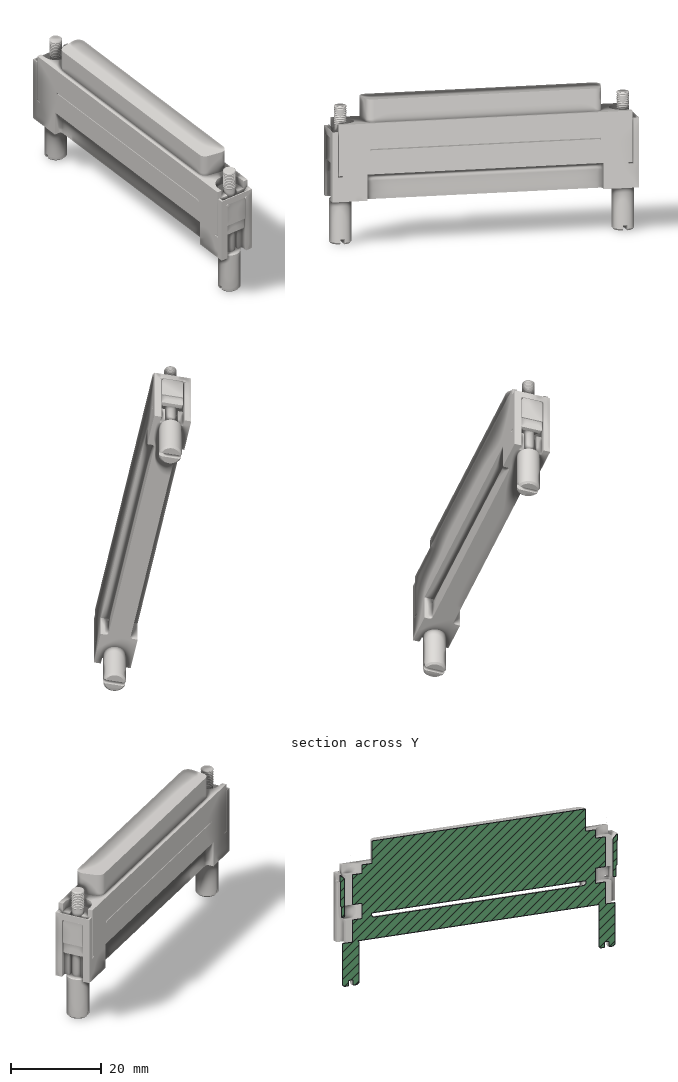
import cadquery as cq
import math

overall_length = 69.5
body_length = 69.3
body_depth = 8.3
body_bottom = 10.0
body_top = 27.4
total_height = 32.5
half_length = body_length / 2
half_depth = body_depth / 2

plate_top = 25.7
plate_thickness = 1.3
slit_width = 0.2
body_end_inset = plate_thickness + slit_width
slit_bottom = 15.4
slit_foot_reach = 2.4
slit_foot_height = 0.4
slit_foot_radius = 0.15

lead_in_depth = 1.1
lead_in_side_rim = 0.4
lead_in_end_rim = 0.2

window_width = 5.15
window_top = 24.2
window_corner = 0.4
tongue_gap = 0.2
tongue_width = window_width - 2 * tongue_gap
tongue_top_radius = 0.6
tongue_bottom_radius = 0.3
tongue_bottom = 15.9
tongue_step = 18.5
tongue_inset = 0.15
tongue_tip_inset = 0.4

shell_depth = 6.2
shell_back_half = 27.45
shell_side_angle = 10
shell_radius = 1.6
shell_height = total_height - body_top

leg_width = 8.0
opening_half = half_length - leg_width
opening_top = 15.9
bar_top = 15.0
bar_depth = 4.9
bar_top_radius = 0.8
bar_leg_radius = 0.6

groove_half = 26.05
groove_top = 21.6
groove_width = 0.3
groove_depth = 0.3
hook_size = 0.35

screw_x = 31.9
head_diameter = 5.0
head_chamfer = 0.4
head_top_chamfer = 0.15
shank_diameter = 2.6
thread_diameter = 2.8
thread_bottom = 26.6
thread_top = 31.0
thread_pitch = 0.4
thread_lead = 0.15
driver_slot_width = 1.0
driver_slot_depth = 1.25
screw_slot_width = 2.85
pocket_diameter = 6.1
top_pocket_floor = 25.4
lower_pocket_floor = 15.1
lower_pocket_top = tongue_step

pip_diameter = 0.6
pip_height = overall_length - body_length
pip_y = 2.5
pip_z = 24.05


def box(x_range, y_range, z_range):
    """Axis-aligned block between the given limits."""
    size = [high - low for low, high in (x_range, y_range, z_range)]
    corner = (x_range[0], y_range[0], z_range[0])
    return cq.Workplane("XY").box(*size, centered=False).translate(corner)


def both_ends(left_feature):
    """The feature at the -X end together with its mirror image."""
    return left_feature.union(left_feature.mirror("YZ"))


def make_housing():
    """Body with a leg at each end, joined at the bottom by a thinner bar."""
    full_depth = (-half_depth, half_depth)
    housing = box((-half_length, half_length), full_depth, (body_bottom, body_top))
    housing = housing.cut(box((-opening_half, opening_half), full_depth, (body_bottom, opening_top)))
    bar = box(
        (-opening_half, opening_half), (-bar_depth / 2, bar_depth / 2), (body_bottom, bar_top)
    )
    bar = bar.edges("|X and >Z").fillet(bar_top_radius)
    housing = housing.union(bar)
    tolerance = 0.01
    for side in (-1, 1):
        leg_face_x = side * opening_half
        joint = cq.selectors.BoxSelector(
            (leg_face_x - tolerance, -bar_depth / 2 - tolerance, body_bottom + tolerance),
            (leg_face_x + tolerance, bar_depth / 2 + tolerance, bar_top + tolerance),
        )
        housing = housing.edges(joint).fillet(bar_leg_radius)
    return housing


def make_shell():
    """Raised shell, wider at the back than at the front."""
    front_half = shell_back_half - shell_depth * math.tan(math.radians(shell_side_angle))
    back_y = shell_depth / 2
    outline = [
        (-shell_back_half, back_y),
        (shell_back_half, back_y),
        (front_half, -back_y),
        (-front_half, -back_y),
    ]
    shell = cq.Workplane("XY").workplane(offset=body_top).polyline(outline).close()
    return shell.extrude(shell_height).edges("|Z").fillet(shell_radius)


def make_end_step():
    """Space above the latch plate, and the slit behind it with its foot."""
    full_depth = (-half_depth, half_depth)
    body_end = -half_length + body_end_inset
    step = box((-half_length, body_end), full_depth, (plate_top, body_top))
    slit = box((body_end - slit_width, body_end), full_depth, (slit_bottom, plate_top))
    foot = box(
        (body_end - slit_width, -half_length + slit_foot_reach),
        full_depth,
        (slit_bottom, slit_bottom + slit_foot_height),
    )
    foot = foot.edges("|Y and >X").fillet(slit_foot_radius)
    return step.union(slit).union(foot)


def make_lead_in():
    """Hopper cut into the top of the latch plate, open towards the body."""
    outer_x = -half_length + lead_in_end_rim
    inner_x = -half_length + body_end_inset
    run = plate_thickness - lead_in_end_rim
    top_half = half_depth - lead_in_side_rim
    top_outline = cq.Workplane("XY").workplane(offset=plate_top - lead_in_depth)
    hopper = (
        top_outline.moveTo(inner_x, 0)
        .rect(2 * (inner_x - outer_x - run), 2 * (top_half - run))
        .workplane(offset=lead_in_depth)
        .moveTo(inner_x, 0)
        .rect(2 * (inner_x - outer_x), 2 * top_half)
        .loft(ruled=True)
    )
    plate_only = box((-half_length, inner_x), (-half_depth, half_depth), (body_bottom, plate_top))
    return hopper.intersect(plate_only)


def make_window():
    """Window in the latch plate, open at the bottom."""
    window = box(
        (-half_length, -half_length + body_end_inset),
        (-window_width / 2, window_width / 2),
        (body_bottom, window_top),
    )
    return window.edges("|X and >Z").fillet(window_corner)


def make_tongue():
    """Tongue hanging from the top of the window, its tip stepped inwards."""
    outer_x = -half_length + tongue_inset
    tip_x = -half_length + tongue_tip_inset
    inner_x = -half_length + plate_thickness
    side_profile = [
        (outer_x, window_top),
        (inner_x, window_top),
        (inner_x, tongue_bottom),
        (tip_x, tongue_bottom),
        (tip_x, tongue_step),
        (outer_x, tongue_step),
    ]
    tongue = cq.Workplane("XZ").polyline(side_profile).close()
    tongue = tongue.extrude(tongue_width / 2, both=True)
    tongue = tongue.edges("|X and >Z").fillet(tongue_top_radius)
    return tongue.edges("|X and <Z").fillet(tongue_bottom_radius)


def make_screw_space():
    """Slot for the screw, with a wide pocket at the top and one lower down."""
    body_end = -half_length + body_end_inset

    def open_slot(width, bottom, top):
        block = box((body_end, -screw_x), (-width / 2, width / 2), (bottom, top))
        round_end = cq.Workplane("XY").workplane(offset=bottom).moveTo(-screw_x, 0)
        return block.union(round_end.circle(width / 2).extrude(top - bottom)).intersect(
            box((body_end, 0), (-half_depth, half_depth), (bottom, top))
        )

    space = open_slot(screw_slot_width, body_bottom, body_top)
    space = space.union(open_slot(pocket_diameter, top_pocket_floor, body_top))
    return space.union(open_slot(pocket_diameter, lower_pocket_floor, lower_pocket_top))


def make_screw():
    """Jack screw: slotted head, plain shank and a thread of ring grooves."""
    head_radius = head_diameter / 2
    shank_radius = shank_diameter / 2
    thread_radius = thread_diameter / 2
    profile = [
        (0, 0),
        (head_radius - head_chamfer, 0),
        (head_radius, head_chamfer),
        (head_radius, body_bottom - head_top_chamfer),
        (head_radius - head_top_chamfer, body_bottom),
        (shank_radius, body_bottom),
        (shank_radius, thread_bottom),
    ]
    turns = int((thread_top - thread_lead - thread_bottom) / thread_pitch)
    for turn in range(turns):
        root_z = thread_bottom + turn * thread_pitch
        profile.append((thread_radius, root_z + thread_pitch / 2))
        profile.append((shank_radius, root_z + thread_pitch))
    profile += [
        (thread_radius, thread_top - thread_lead),
        (thread_radius - thread_lead, thread_top),
        (0, thread_top),
    ]
    screw = cq.Workplane("XZ").polyline(profile).close().revolve(360, (0, 0), (0, 1))
    driver_slot = box(
        (-driver_slot_width / 2, driver_slot_width / 2),
        (-head_radius, head_radius),
        (0, driver_slot_depth),
    )
    return screw.cut(driver_slot).translate((-screw_x, 0, 0))


def make_front_groove():
    """Shallow groove in the front face with a hook at each end."""
    groove_bottom = groove_top - groove_width
    outline = [
        (-groove_half, groove_top),
        (groove_half, groove_top),
        (groove_half, groove_bottom - hook_size),
        (groove_half - hook_size, groove_bottom),
        (-groove_half + hook_size, groove_bottom),
        (-groove_half, groove_bottom - hook_size),
    ]
    front_face = cq.Workplane("XZ", origin=(0, -half_depth, 0))
    return front_face.polyline(outline).close().extrude(-groove_depth)


def make_pips():
    """Two small round pips on the +X end face."""
    end_face = cq.Workplane("YZ", origin=(half_length, 0, 0))
    spots = [(-pip_y, pip_z), (pip_y, pip_z)]
    return end_face.pushPoints(spots).circle(pip_diameter / 2).extrude(pip_height)


result = make_housing().union(make_shell())
for end_cut in (make_end_step(), make_window(), make_screw_space()):
    result = result.cut(both_ends(end_cut))
result = result.union(both_ends(make_tongue()))
result = result.cut(both_ends(make_lead_in()))
result = result.cut(make_front_groove())
result = result.union(both_ends(make_screw()))
result = result.union(make_pips())